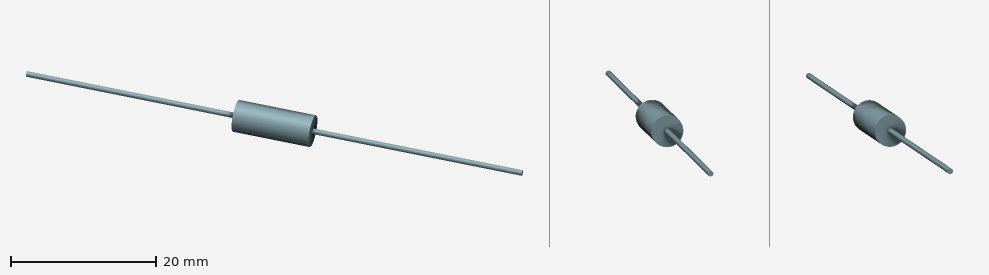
import cadquery as cq

overall_length = 71.0
body_length = 11.0
body_diameter = 4.5
lead_diameter = 0.8

lead_length = (overall_length - body_length) / 2


def rod_along_x(start_x, length, diameter):
    """Solid round rod on the X axis, from start_x towards +X."""
    return cq.Workplane("YZ", origin=(start_x, 0, 0)).circle(diameter / 2).extrude(length)


body = rod_along_x(-body_length / 2, body_length, body_diameter)

lead_starts = [-overall_length / 2, body_length / 2]
leads = [rod_along_x(start_x, lead_length, lead_diameter) for start_x in lead_starts]

result = cq.Compound.makeCompound([body.val(), *[lead.val() for lead in leads]])